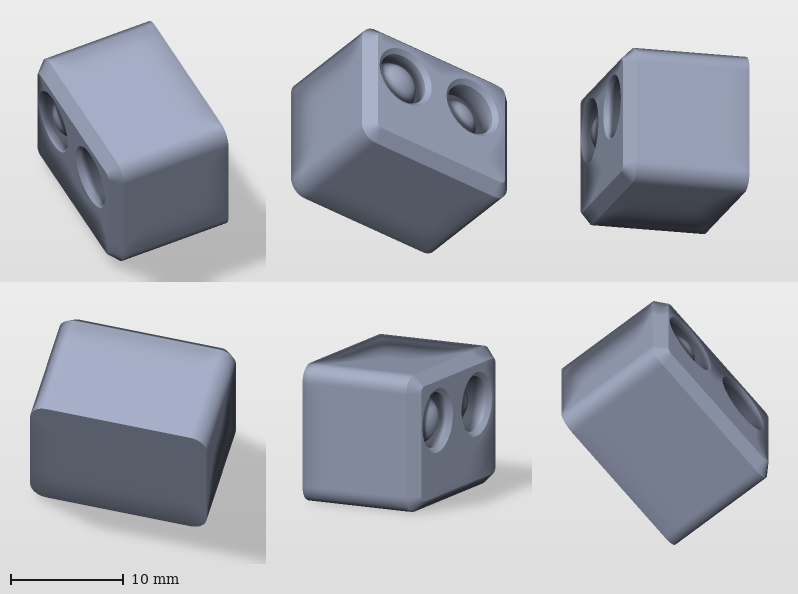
import cadquery as cq

width = 16.2
depth = 11.4
height = 12.5
corner_radius = 1.5
front_chamfer = 1.0

socket_diameter = 5.0
socket_mouth_diameter = 5.82
socket_mouth_depth = 0.4
socket_z = 1.65
left_socket_x = -3.99
right_socket_x = 3.5
left_dome_tip_depth = 0.2
right_dome_tip_depth = 1.2

chamber_side = 8.0
lip_depth = 2.28


def make_block():
    """Block with rounded long edges and a chamfered front rim."""
    block = cq.Workplane("XY").box(width, depth, height).translate((0, depth / 2, 0))
    return block.edges("|Y").fillet(corner_radius).faces("<Y").chamfer(front_chamfer)


def make_socket(x, tip_depth):
    """Void of one socket: flared mouth and bore, ending around a hemispherical dome."""
    radius = socket_diameter / 2
    mouth_radius = socket_mouth_diameter / 2
    base_depth = tip_depth + radius
    arc_offset = radius * 0.5 ** 0.5
    return (
        cq.Workplane("XY")
        .moveTo(0, 0)
        .lineTo(mouth_radius, 0)
        .lineTo(radius, socket_mouth_depth)
        .lineTo(radius, base_depth)
        .threePointArc((arc_offset, base_depth - arc_offset), (0, tip_depth))
        .close()
        .revolve(360, (0, 0, 0), (0, 1, 0))
        .translate((x, 0, socket_z))
    )


def make_chamber():
    """Void of the hidden chamber, from the socket lip back to the dome base."""
    dome_radius = socket_diameter / 2
    base_depth = right_dome_tip_depth + dome_radius
    length = base_depth - lip_depth
    chamber = (
        cq.Workplane("XY")
        .box(chamber_side, length, chamber_side)
        .translate((right_socket_x, lip_depth + length / 2, socket_z))
    )
    dome = cq.Workplane("XY").sphere(dome_radius).translate((right_socket_x, base_depth, socket_z))
    return chamber.cut(dome)


result = make_block()
result = result.cut(make_socket(left_socket_x, left_dome_tip_depth))
result = result.cut(make_socket(right_socket_x, right_dome_tip_depth))
result = result.cut(make_chamber())